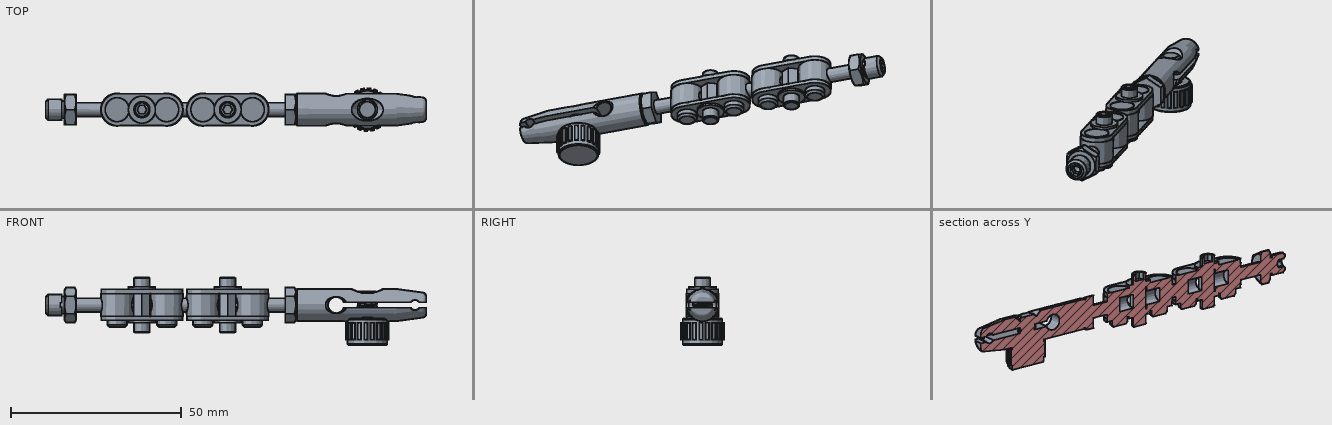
import cadquery as cq
import math

TOTAL_LENGTH = 111.5
FUSE = 0.1

ROD_DIA = 4.1
HEAD_DIA = 6.2
HEAD_LENGTH = 4.8
HEAD_CHAMFER = 0.8
HEAD_SOCKET = 2.3
HEAD_SOCKET_DEPTH = 2.2
HEAD_SOCKET_ENTRY_DIA = 3.5
HEAD_SOCKET_ENTRY_DEPTH = 0.6
DRILL_POINT_DEPTH = 0.7
HEAD_NOTCH_WIDTH = 1.3
HEAD_NOTCH_DEPTH = 0.5
NECK_DIA = 5.1
NUT_FLATS = 8.9
NUT_CHAMFER = 0.5
NUT_CHAMFER_ANGLE = 30.0
END_NUT_START = 5.5
END_NUT_LENGTH = 3.6

LINK_CENTRES = (28.2, 53.3)
ROLLER_SPACING = 14.5
ROLLER_DIA = 9.6
PLATE_WIDTH = 9.4
PLATE_GAP = 6.7
TOP_PLATE_THICKNESS = 1.3
BOTTOM_PLATE_THICKNESS = 1.1
PIN_DIA = 7.0
PIN_RECESS = 0.1
BUTTON_DIA = 5.8
BUTTON_HEIGHT = 2.0
BUTTON_CHAMFER = 0.7
WASHER_DIA = 7.9
WASHER_HEIGHT = 0.7
BOLT_DIA = 4.7
SPACER_FLATS = 4.8
BOLT_LENGTH = 16.3
BOLT_CHAMFER = 0.3
BOLT_SOCKET = 2.5
BOLT_SOCKET_DEPTH = 2.0

CLAMP_NUT_START = 70.1
CLAMP_NUT_LENGTH = 3.2
BODY_DIA = 9.5
BODY_CHAMFER = 0.3
TAPER_START = 102.8
TIP_DIA = 7.5
TIP_ROUND = 1.3
SLOT_HEIGHT = 1.6
BIG_GRIP_X = 85.1
BIG_GRIP_DIA = 4.7
BIG_GRIP_SINK_DIA = 6.2
SMALL_GRIP_X = 108.2
SMALL_GRIP_DIA = 2.9

SCREW_X = 94.2
SCREW_DIA = 5.8
SCREW_CHAMFER = 0.6
SCREW_TOP = 4.0
THREAD_PITCH = 1.5
THREAD_DEPTH = 0.5
THREAD_GROOVE_WIDTH = 1.1
THREAD_LENGTH = 2.9
SINK_FLOOR = 3.0
KNOB_DIA = 11.7
COLLAR_DIA = 6.6
COLLAR_TOP = -3.6
KNOB_TOP = -3.9
KNOB_BOTTOM = -11.7
KNOB_CHAMFER = 0.3
KNURL_DIA = 12.6
KNURL_TOP = -5.2
KNURL_BOTTOM = -10.1
KNURL_COUNT = 20
KNURL_RIB_WIDTH = 1.0
KNURL_PHASE = -360 / KNURL_COUNT / 4


def rod_x(start, end, diameter):
    """Cylinder along X between two stations."""
    return cq.Workplane("YZ").workplane(offset=start).circle(diameter / 2).extrude(end - start)


def post_z(x, bottom, top, diameter):
    """Cylinder along Z at the given X."""
    return cq.Workplane("XY").workplane(offset=bottom).center(x, 0).circle(diameter / 2).extrude(top - bottom)


def hexagon_corner_dia(flats):
    return flats / math.cos(math.pi / 6)


def hex_nut(start, length, chamfer_both_sides):
    """Nut along X with a corner pointing up and corners turned down by a cone."""
    corner_dia = hexagon_corner_dia(NUT_FLATS)
    end = start + length
    prism = (
        cq.Workplane("YZ").workplane(offset=start)
        .transformed(rotate=(0, 0, 90)).polygon(6, corner_dia).extrude(length)
    )
    corner_radius = corner_dia / 2
    face_radius = NUT_FLATS / 2 - NUT_CHAMFER / 2
    chamfer_length = (corner_radius - face_radius) * math.tan(math.radians(NUT_CHAMFER_ANGLE))
    profile = cq.Workplane("XZ").moveTo(start, 0)
    if chamfer_both_sides:
        profile = profile.lineTo(start, face_radius).lineTo(start + chamfer_length, corner_radius)
    else:
        profile = profile.lineTo(start, corner_radius)
    envelope = (
        profile.lineTo(end - chamfer_length, corner_radius)
        .lineTo(end, face_radius).lineTo(end, 0).close()
        .revolve(360, (0, 0, 0), (1, 0, 0))
    )
    return prism.intersect(envelope)


def end_screw():
    """Socket head with a notched rear edge, its neck and its nut."""
    head = rod_x(0, HEAD_LENGTH, HEAD_DIA).faces("<X").chamfer(HEAD_CHAMFER)
    notch = cq.Workplane("XY").box(2 * HEAD_NOTCH_DEPTH, HEAD_DIA, HEAD_NOTCH_WIDTH)
    head = head.cut(notch.translate((HEAD_LENGTH, 0, 0)))
    neck = rod_x(HEAD_LENGTH - HEAD_NOTCH_DEPTH - FUSE, END_NUT_START + FUSE, NECK_DIA)
    socket = cq.Workplane("YZ").polygon(6, hexagon_corner_dia(HEAD_SOCKET)).extrude(HEAD_SOCKET_DEPTH)
    along_x = cq.Vector(1, 0, 0)
    entry = cq.Solid.makeCone(
        HEAD_SOCKET_ENTRY_DIA / 2, HEAD_SOCKET / 2, HEAD_SOCKET_ENTRY_DEPTH, cq.Vector(0, 0, 0), along_x
    )
    drill_point = cq.Solid.makeCone(
        HEAD_SOCKET / 2, 0, DRILL_POINT_DEPTH, cq.Vector(HEAD_SOCKET_DEPTH, 0, 0), along_x
    )
    head = head.union(neck).cut(socket)
    for recess in (entry, drill_point):
        head = head.cut(cq.Workplane(obj=recess))
    return head.union(hex_nut(END_NUT_START, END_NUT_LENGTH, True))


def link_plate(centre, bottom, thickness):
    return (
        cq.Workplane("XY").workplane(offset=bottom).center(centre, 0)
        .slot2D(ROLLER_SPACING + PLATE_WIDTH, PLATE_WIDTH).extrude(thickness)
    )


def link(centre):
    """Two plates joined by two rollers and a clamping bolt between them."""
    plate_inner = PLATE_GAP / 2
    top_face = plate_inner + TOP_PLATE_THICKNESS
    bottom_face = -plate_inner - BOTTOM_PLATE_THICKNESS
    roller_centres = (centre - ROLLER_SPACING / 2, centre + ROLLER_SPACING / 2)

    body = link_plate(centre, plate_inner, TOP_PLATE_THICKNESS)
    body = body.union(link_plate(centre, bottom_face, BOTTOM_PLATE_THICKNESS))
    for x in roller_centres:
        button = post_z(x, bottom_face - BUTTON_HEIGHT, bottom_face, BUTTON_DIA)
        body = body.union(post_z(x, -plate_inner, plate_inner, ROLLER_DIA))
        body = body.union(button.faces("<Z").chamfer(BUTTON_CHAMFER))
        body = body.cut(post_z(x, top_face - PIN_RECESS, top_face, PIN_DIA))
    body = body.cut(rod_x(roller_centres[0], roller_centres[1], ROD_DIA))

    spacer = (
        cq.Workplane("XY").workplane(offset=-plate_inner).center(centre, 0)
        .transformed(rotate=(0, 0, 90)).polygon(6, hexagon_corner_dia(SPACER_FLATS)).extrude(PLATE_GAP)
    )
    washers = post_z(centre, bottom_face - WASHER_HEIGHT, bottom_face, WASHER_DIA)
    washers = washers.union(post_z(centre, top_face - PIN_RECESS, top_face + WASHER_HEIGHT, WASHER_DIA))
    bolt = post_z(centre, -BOLT_LENGTH / 2, BOLT_LENGTH / 2, BOLT_DIA)
    bolt = bolt.faces("<Z or >Z").chamfer(BOLT_CHAMFER)
    socket = (
        cq.Workplane("XY").workplane(offset=BOLT_LENGTH / 2 - BOLT_SOCKET_DEPTH).center(centre, 0)
        .polygon(6, hexagon_corner_dia(BOLT_SOCKET)).extrude(BOLT_SOCKET_DEPTH)
    )
    return body.union(spacer).union(washers).union(bolt).cut(socket)


def connecting_rods():
    """Rods from the end screw through the links to the clamp, ending at the roller axes."""
    half_spacing = ROLLER_SPACING / 2
    first, second = LINK_CENTRES
    spans = (
        (END_NUT_START, first - half_spacing),
        (first + half_spacing, second - half_spacing),
        (second + half_spacing, CLAMP_NUT_START + FUSE),
    )
    return [rod_x(start, end, ROD_DIA) for start, end in spans]


def clamp_body():
    """Tapered round bar split by a slot with two cross bores that grip a part."""
    body_start = CLAMP_NUT_START + CLAMP_NUT_LENGTH
    body_radius = BODY_DIA / 2
    tip_radius = TIP_DIA / 2
    arc_mid = TIP_ROUND * math.sin(math.pi / 4)
    body = (
        cq.Workplane("XZ").moveTo(body_start, 0)
        .lineTo(body_start, body_radius - BODY_CHAMFER)
        .lineTo(body_start + BODY_CHAMFER, body_radius)
        .lineTo(TAPER_START, body_radius)
        .lineTo(TOTAL_LENGTH - TIP_ROUND, tip_radius)
        .threePointArc(
            (TOTAL_LENGTH - TIP_ROUND + arc_mid, tip_radius - TIP_ROUND + arc_mid),
            (TOTAL_LENGTH, tip_radius - TIP_ROUND),
        )
        .lineTo(TOTAL_LENGTH, 0).close()
        .revolve(360, (0, 0, 0), (1, 0, 0))
    )
    slot_length = TOTAL_LENGTH - BIG_GRIP_X
    slot = cq.Workplane("XY").box(slot_length, BODY_DIA, SLOT_HEIGHT, centered=(False, True, True))
    body = body.cut(slot.translate((BIG_GRIP_X, 0, 0)))

    grips = ((BIG_GRIP_X, BIG_GRIP_DIA), (SMALL_GRIP_X, SMALL_GRIP_DIA))
    for x, diameter in grips:
        body = body.cut(cq.Workplane("XZ").center(x, 0).circle(diameter / 2).extrude(body_radius, both=True))

    sink_depth = (BIG_GRIP_SINK_DIA - BIG_GRIP_DIA) / 2
    for side in (-1, 1):
        sink = cq.Solid.makeCone(
            BIG_GRIP_SINK_DIA / 2, BIG_GRIP_DIA / 2, sink_depth,
            cq.Vector(BIG_GRIP_X, side * body_radius, 0), cq.Vector(0, -side, 0),
        )
        body = body.cut(cq.Workplane(obj=sink))

    seat_depth = body_radius - SINK_FLOOR
    seat = cq.Solid.makeCone(
        SCREW_DIA / 2, SCREW_DIA / 2 + seat_depth, seat_depth,
        cq.Vector(SCREW_X, 0, SINK_FLOOR), cq.Vector(0, 0, 1),
    )
    body = body.cut(cq.Workplane(obj=seat))
    return body.union(hex_nut(CLAMP_NUT_START, CLAMP_NUT_LENGTH, False))


def thread_groove():
    """Helical V groove on the stretch of the thumb screw that bridges the slot."""
    radius = SCREW_DIA / 2
    start = cq.Vector(SCREW_X, 0, -THREAD_LENGTH / 2)
    path = cq.Wire.makeHelix(THREAD_PITCH, THREAD_LENGTH, radius, start)
    root = radius - THREAD_DEPTH
    crest = radius + FUSE
    half_width = THREAD_GROOVE_WIDTH / 2
    return (
        cq.Workplane("XZ", origin=start.toTuple())
        .polyline([(root, 0), (crest, half_width), (crest, -half_width)]).close()
        .sweep(cq.Workplane(obj=path), isFrenet=True)
    )


def thumb_screw():
    """Screw across the slot with a ribbed knob below the clamp."""
    screw = post_z(SCREW_X, KNOB_TOP, SCREW_TOP, SCREW_DIA).faces(">Z").chamfer(SCREW_CHAMFER)
    screw = screw.cut(thread_groove())
    collar = post_z(SCREW_X, KNOB_TOP, COLLAR_TOP, COLLAR_DIA)
    knob = post_z(SCREW_X, KNOB_BOTTOM, KNOB_TOP, KNOB_DIA).faces("<Z or >Z").chamfer(KNOB_CHAMFER)
    ribs = (
        cq.Workplane("XY").workplane(offset=KNURL_BOTTOM).center(SCREW_X, 0)
        .polarArray(KNOB_DIA / 2, KNURL_PHASE, 360, KNURL_COUNT)
        .rect(2 * (KNURL_DIA - KNOB_DIA), KNURL_RIB_WIDTH).extrude(KNURL_TOP - KNURL_BOTTOM)
    )
    ribs = ribs.intersect(post_z(SCREW_X, KNURL_BOTTOM, KNURL_TOP, KNURL_DIA))
    return knob.union(ribs).union(collar).union(screw)


result = end_screw()
for link_centre in LINK_CENTRES:
    result = result.union(link(link_centre))
for rod in connecting_rods():
    result = result.union(rod)
result = result.union(clamp_body()).union(thumb_screw())